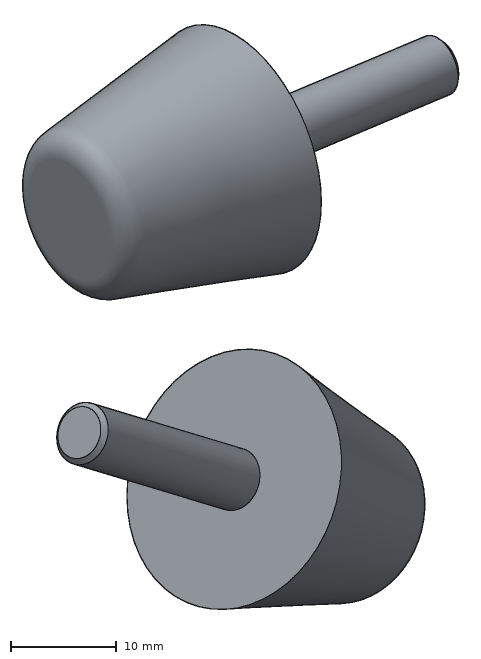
import cadquery as cq

overall_length = 45.5
stud_exposed_length = 25.02
base_radius = 12.5
nose_radius = 8.25
nose_fillet = 2.5

stud_radius = 3.0
stud_chamfer = 0.5
socket_depth = 6.82

nose_y = -overall_length / 2
stud_tip_y = overall_length / 2
base_y = stud_tip_y - stud_exposed_length
stud_root_y = base_y - socket_depth


def make_stud():
    """Plain round stud, chamfered at its free end."""
    return (
        cq.Workplane("XZ", origin=(0, stud_root_y, 0))
        .circle(stud_radius)
        .extrude(-(stud_tip_y - stud_root_y))
        .faces(">Y")
        .edges()
        .chamfer(stud_chamfer)
    )


def make_bumper():
    """Tapered bumper with a rounded nose and a blind socket for the stud."""
    cone = (
        cq.Workplane("XY")
        .moveTo(0, nose_y)
        .lineTo(nose_radius, nose_y)
        .lineTo(base_radius, base_y)
        .lineTo(0, base_y)
        .close()
        .revolve(360, (0, 0, 0), (0, 1, 0))
    )
    rounded_cone = cone.faces("<Y").edges().fillet(nose_fillet)
    socket = (
        cq.Workplane("XZ", origin=(0, stud_root_y, 0))
        .circle(stud_radius)
        .extrude(-socket_depth)
    )
    return rounded_cone.cut(socket)


stud = make_stud()
bumper = make_bumper()
result = cq.Compound.makeCompound([bumper.val(), stud.val()])